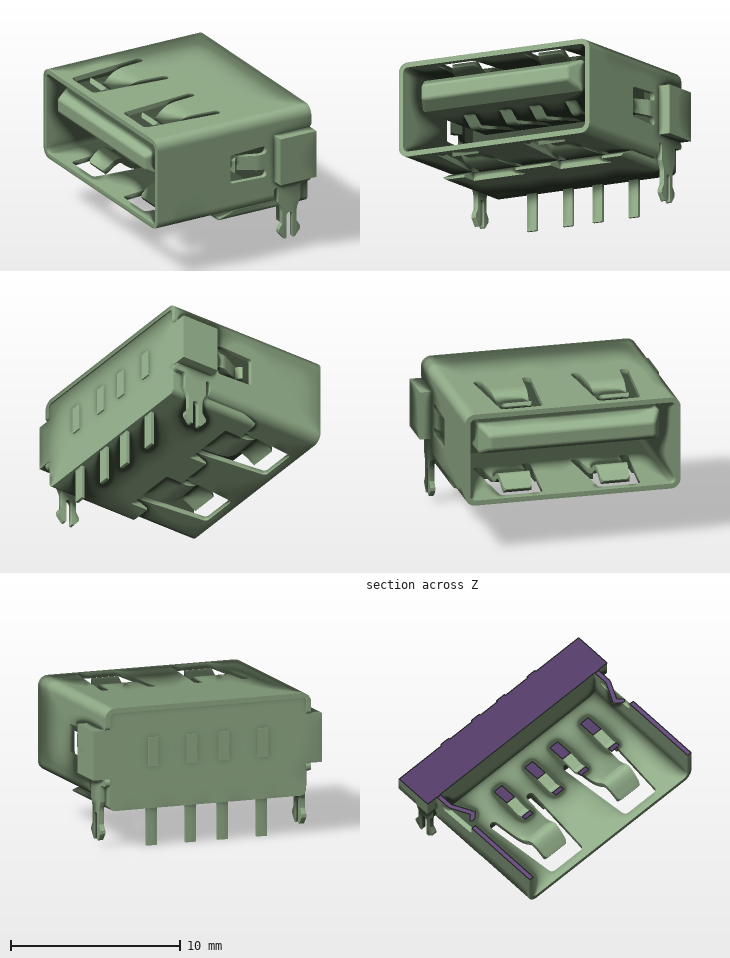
import cadquery as cq
import math

sheet = 0.3
shell_width = 13.14
shell_length = 10.6
shell_height = 5.72
shell_top = 8.5
shell_bottom = shell_top - shell_height
shell_radius = 0.6
inner_radius = shell_radius - sheet
inner_half_width = shell_width / 2 - sheet
inner_top = shell_top - sheet
inner_bottom = shell_bottom + sheet
shell_mid_z = (shell_top + shell_bottom) / 2

housing_back = 10.51
block_front = 8.03
housing_bottom = 2.28
bottom_edge_radius = 0.32
overall_width = 14.6
ear_bottom = 4.22
ear_top = 7.18
floor_front = 5.62
foot_front = 4.5
foot_slope_start = 5.42
foot_nose = 0.15

tongue_half_width = 5.53
tongue_bottom = 5.62
tongue_top = 7.5
tongue_front = 0.03
tongue_taper_start = 1.05
tip_half_width = 5.04
tip_bottom = 6.13
tip_top = 7.04
tip_radius = 0.23
tongue_edge_radius = 0.2

contact_width = 0.65
contact_x = [-3.5, -1.02, 1.02, 3.5]
contact_thickness = 0.19
pin_back = 10.38
nub_bottom = 4.82
nub_top = 6.57
arm_root_z = 5.72
arm_low_y = 3.8
arm_low_z = 5.01
arm_low_radius = 0.44
arm_tip_y = 2.83
arm_tip_z = 5.77

leg_y = 9.1
leg_root_z = 3.75
leg_half = 0.75
leg_taper_top = 2.75
leg_taper_bottom = 2.23
shank_half = 0.5
leg_taper_radius = 0.73
barb_top = 1.35
barb_flat_top = 1.0
barb_flat_bottom = 0.79
barb_half = 0.73
leg_tip_z = 0.35
leg_tip_half = 0.36
leg_slot_width = 0.41
leg_slot_top = 2.0
leg_slot_radius = 0.19
leg_tip_radius = 0.07
notch_radius = 0.15
side_corner_radius = 0.22

wall_spring = dict(
    slot_end=5.53, window_front=0.51, window_rear_half=1.77, window_front_half=1.28, corner=0.26,
    slot_width=0.51, hinge=4.05, bend=4.05, crest=2.54, tip=1.53, drop=0.63, tip_drop=0.03, tip_corner=0.26,
)
tip_rise_angle = 38.0
side_spring = dict(
    slot_end=7.52, window_front=5.02, window_rear_half=1.01, window_front_half=0.9, corner=0.15,
    slot_width=0.51, hinge=7.15, bend=7.04, crest=5.75, tip=5.37, drop=0.64, tip_drop=0.22, tip_corner=0.29,
)
side_bend_radius = 0.51
side_crest_radius = 0.48
spring_x = 2.98
side_spring_z = 5.64


def box(x0, x1, y0, y1, z0, z1):
    """Axis-aligned block between the given limits."""
    return cq.Workplane("XY").box(x1 - x0, y1 - y0, z1 - z0, centered=False).translate((x0, y0, z0))


def tube_section(half_width, bottom, top, radius, y0, y1):
    """Bar along Y with rounded long edges."""
    return box(-half_width, half_width, y0, y1, bottom, top).edges("|Y").fillet(radius)


def crosswise_edges(shape, y0, y1, z0, z1):
    """Edges along X whose centres lie within the given limits."""
    region = cq.selectors.BoxSelector((-overall_width, y0, z0), (overall_width, y1, z1))
    return shape.edges("|X").edges(region)



def edge_half(s, y):
    """Half width of the window at a given y, along its slanted side."""
    slant = (s["window_rear_half"] - s["window_front_half"]) / (s["slot_end"] - s["window_front"])
    return s["window_front_half"] + slant * (y - s["window_front"])


def blade_half(s, y):
    return edge_half(s, y) - s["slot_width"]


def spring_window(s):
    """U-shaped opening: two round-ended slots joined in front of the spring's hinge line."""
    slot_radius = s["slot_width"] / 2
    shoulder = s["slot_end"] - slot_radius
    outer = edge_half(s, shoulder)
    inner = blade_half(s, shoulder)
    middle = outer - slot_radius
    front = s["window_front_half"]
    hinge_half = blade_half(s, s["hinge"])
    outline = (
        cq.Workplane("XY")
        .moveTo(-front, s["window_front"])
        .lineTo(-outer, shoulder)
        .threePointArc((-middle, s["slot_end"]), (-inner, shoulder))
        .lineTo(-hinge_half, s["hinge"])
        .lineTo(hinge_half, s["hinge"])
        .lineTo(inner, shoulder)
        .threePointArc((middle, s["slot_end"]), (outer, shoulder))
        .lineTo(front, s["window_front"])
        .close()
    )
    front_corners = cq.selectors.BoxSelector(
        (-2 * front, s["window_front"] - 0.15, -2 * sheet), (2 * front, s["window_front"] + 0.15, sheet)
    )
    return outline.extrude(-sheet).edges("|Z").edges(front_corners).fillet(s["corner"])


def strip_mid_line(s):
    """Corner points along the middle of the strip: root, bend, crest and tip."""
    mid = -sheet / 2
    return [
        cq.Vector(0, s["slot_end"], mid),
        cq.Vector(0, s["bend"], mid),
        cq.Vector(0, s["crest"], mid - s["drop"]),
        cq.Vector(0, s["tip"], mid - s["tip_drop"]),
    ]


def wall_spring_path():
    """Flat root, then one smooth wave through the crest to the rising tip."""
    root, bend, crest, tip = strip_mid_line(wall_spring)
    rise = math.radians(tip_rise_angle)
    wave = cq.Edge.makeSpline(
        [bend, crest, tip],
        tangents=[cq.Vector(0, -1, 0), cq.Vector(0, -math.cos(rise), math.sin(rise))],
    )
    return cq.Wire.assembleEdges([cq.Edge.makeLine(root, bend), wave])


def side_spring_path():
    """Straight stretches with a rounded bend and a tighter rounded crest."""
    path = cq.Wire.makePolygon(strip_mid_line(side_spring))
    bend_corner, crest_corner = path.Vertices()[1:3]
    path = path.fillet(side_bend_radius, [bend_corner])
    return path.fillet(side_crest_radius, [crest_corner])


def spring_blade(s, path):
    """Strip bent along the path, narrowing toward a round-cornered tip."""
    root = s["slot_end"]
    strip = (
        cq.Workplane("XZ", origin=(0, root, -sheet / 2))
        .rect(2 * s["window_rear_half"], sheet)
        .sweep(cq.Workplane(path))
    )
    rise = math.atan2(s["drop"] - s["tip_drop"], s["crest"] - s["tip"])
    front = s["tip"] - sheet / 2 * math.sin(rise)
    root_half = blade_half(s, root)
    front_half = blade_half(s, front)
    depth = s["drop"] + 2 * sheet
    plan = (
        cq.Workplane("XY")
        .polyline([(-root_half, root), (-front_half, front), (front_half, front), (root_half, root)])
        .close()
        .extrude(-depth)
        .edges("|Z and <Y")
        .fillet(s["tip_corner"])
    )
    return strip.intersect(plan)


def on_walls(part_of_wall, part_of_side):
    """Place a shape at the two spots on the top and bottom walls, and another on both side walls."""
    placed = []
    for x in (-spring_x, spring_x):
        placed.append(part_of_wall.translate((x, 0, shell_top)))
        placed.append(part_of_wall.rotate((0, 0, 0), (0, 1, 0), 180).translate((x, 0, shell_bottom)))
    for side in (-1, 1):
        turned = part_of_side.rotate((0, 0, 0), (0, 1, 0), side * 90)
        placed.append(turned.translate((side * shell_width / 2, 0, side_spring_z)))
    return placed


def board_lock():
    """Forked leg with a barbed tip, one sheet thick, centred on x = 0."""
    right_side = [
        (leg_half, leg_root_z),
        (leg_half, leg_taper_top),
        (shank_half, leg_taper_bottom),
        (shank_half, barb_top),
        (barb_half, barb_flat_top),
        (barb_half, barb_flat_bottom),
        (leg_tip_half, leg_tip_z),
    ]
    left_side = [(-y, z) for y, z in reversed(right_side)]
    leg = (
        cq.Workplane("YZ", origin=(-sheet / 2, leg_y, 0))
        .polyline(right_side + left_side)
        .close()
        .extrude(sheet)
    )
    slot = box(-sheet, sheet, leg_y - leg_slot_width / 2, leg_y + leg_slot_width / 2, 0, leg_slot_top)
    slot = slot.edges("|X and >Z").fillet(leg_slot_radius)
    leg = leg.cut(slot).edges("|X and <Z").fillet(leg_tip_radius)
    taper_ends = crosswise_edges(
        leg, leg_y - leg_half, leg_y + leg_half, leg_taper_bottom - 0.01, leg_taper_bottom + 0.01
    )
    return taper_ends.fillet(leg_taper_radius)


def make_shell():
    half_width = shell_width / 2
    shell = tube_section(half_width, shell_bottom, shell_top, shell_radius, 0, shell_length)
    shell = shell.cut(
        tube_section(inner_half_width, inner_bottom, inner_top, inner_radius, 0, shell_length)
    )
    shell = shell.cut(box(-half_width, half_width, block_front, shell_length, shell_bottom, leg_root_z))
    shell = shell.cut(box(-half_width, half_width, block_front, shell_length, ear_bottom, ear_top))
    for side in (-1, 1):
        shell = shell.union(board_lock().translate((side * (shell_width - sheet) / 2, 0, 0)))
    root_corners = crosswise_edges(
        shell, block_front - 0.15, leg_y + leg_half + 0.15, leg_root_z - 0.15, leg_root_z + 0.15
    )
    shell = root_corners.fillet(notch_radius)
    side_ends = crosswise_edges(shell, shell_length - 0.15, shell_length + 0.15, leg_root_z - 0.15, ear_top + 0.15)
    shell = side_ends.fillet(side_corner_radius)
    for window in on_walls(spring_window(wall_spring), spring_window(side_spring)):
        shell = shell.cut(window)
    wall_blade = spring_blade(wall_spring, wall_spring_path())
    side_blade = spring_blade(side_spring, side_spring_path())
    for blade in on_walls(wall_blade, side_blade):
        shell = shell.union(blade)
    return shell


def tongue_outline(half_width, bottom, top):
    return cq.Sketch().rect(2 * half_width, top - bottom).vertices().fillet(tongue_edge_radius)


def make_tongue():
    """Flat tongue with rounded long edges and all four sides tapering to a rounded tip."""
    full = tongue_outline(tongue_half_width, tongue_bottom, tongue_top)
    tip = tongue_outline(tip_half_width, tip_bottom, tip_top)
    full_mid_z = (tongue_bottom + tongue_top) / 2
    tip_rise = (tip_bottom + tip_top) / 2 - full_mid_z
    plane = cq.Workplane("XZ", origin=(0, tongue_taper_start, full_mid_z))
    straight = plane.placeSketch(full).extrude(tongue_taper_start - block_front)
    tip_place = cq.Location(cq.Vector(0, tip_rise, tongue_taper_start - tongue_front))
    taper = plane.placeSketch(full, tip.moved(tip_place)).loft(ruled=True)
    return straight.union(taper).faces("<Y").edges().fillet(tip_radius)


def make_base():
    """Lower housing: a floor under the shell ending in three wedge feet, rounded along both sides."""
    base = (
        cq.Workplane("YZ", origin=(-inner_half_width, 0, 0))
        .polyline([
            (foot_front, housing_bottom),
            (foot_front, housing_bottom + foot_nose),
            (foot_slope_start, shell_bottom),
            (block_front, shell_bottom),
            (block_front, shell_mid_z),
            (housing_back, shell_mid_z),
            (housing_back, housing_bottom),
        ])
        .close()
        .extrude(2 * inner_half_width)
        .edges("|Y and <Z")
        .fillet(bottom_edge_radius)
    )
    gap_half = wall_spring["window_rear_half"]
    for x in (-spring_x, spring_x):
        base = base.cut(
            box(x - gap_half, x + gap_half, foot_front, floor_front, housing_bottom, shell_bottom)
        )
    return base


def contact_arm():
    """Spring arm running forward and down from the block, then turning up into the tongue."""
    path = cq.Wire.makePolygon([
        cq.Vector(0, block_front, arm_root_z),
        cq.Vector(0, arm_low_y, arm_low_z),
        cq.Vector(0, arm_tip_y, arm_tip_z),
    ])
    path = path.fillet(arm_low_radius)
    return (
        cq.Workplane("XZ", origin=(0, block_front, arm_root_z))
        .rect(contact_width, contact_thickness)
        .sweep(cq.Workplane(path))
    )


def make_contact():
    """Exposed parts of one contact at x = 0: spring arm, nub on the back and solder pin."""
    half = contact_width / 2
    nub = box(-half, half, housing_back, shell_length, nub_bottom, nub_top)
    pin = box(-half, half, pin_back - contact_thickness, pin_back, 0, housing_bottom)
    return [contact_arm(), nub, pin]


def make_housing():
    block = tube_section(
        inner_half_width, inner_bottom, inner_top, inner_radius, block_front, housing_back
    )
    ears = box(
        -overall_width / 2, overall_width / 2, block_front, housing_back, ear_bottom, ear_top
    )
    housing = block.union(make_base()).union(ears).union(make_tongue())
    for x in contact_x:
        for piece in make_contact():
            housing = housing.union(piece.translate((x, 0, 0)))
    return housing


shell = make_shell()
housing = make_housing()
result = cq.Compound.makeCompound([shell.solids().val(), housing.solids().val()])